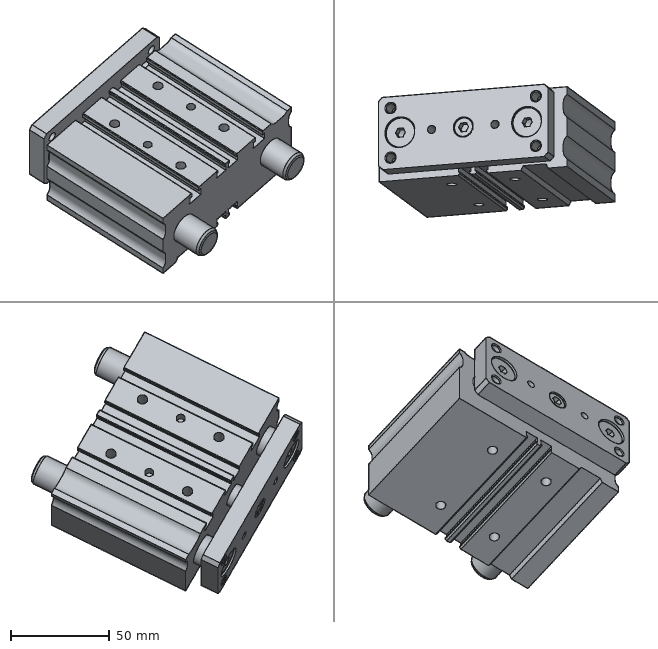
import cadquery as cq
import math

overall_length = 110.5
plate_thickness = 9.7
housing_start = 16.0
housing_length = 77.6
housing_end = housing_start + housing_length

half_width = 50.5
half_height = 21.0

side_groove_z = 10.9
side_groove_half_floor = 1.9
side_groove_depth = 2.1

flank_radius = 5.0
side_flank_angle = math.radians(45)

top_groove_y = 41.2
top_groove_half_floor = 2.4
top_groove_depth = 2.3
rail_drop = 0.9

bottom_groove_y = -32.9
bottom_groove_half_mouth = 7.3
bottom_groove_depth = 2.3
bottom_groove_flank_run = 1.3

slot_half_throat = 2.7
outer_slot_y = 25.1
inner_slot_y = 4.5
top_slot_bevel = 0.4
bottom_slot_bevel = 0.9
outer_slot_lip = 2.7
outer_slot_depth = 6.9
outer_slot_undercut = 1.7
inner_slot_lip = 1.8
inner_slot_depth = 5.1
inner_slot_undercut = 0.8

hole_row_y = 17.0
hole_centre_x = 54.9
mounting_hole_pitch = 44.2
mounting_hole_diameter = 5.1
dowel_hole_diameter = 4.4
dowel_hole_depth = 6.0

plate_half_width = 45.5
plate_half_height = 19.0
plate_bevel = 2.1
corner_hole_y = 39.0
corner_hole_z = 13.0
corner_hole_diameter = 4.9
corner_hole_mouth = 6.0
corner_hole_cone_angle = 90
plate_dowel_diameter = 4.2

guide_rod_y = 34.0
guide_rod_diameter = 16.0
guide_front_recess = 1.0
guide_front_bevel = 0.4
guide_rear_bevel_length = 1.3
guide_rear_bevel_drop = 0.8
guide_tip_length = 0.5
guide_tip_drop = 0.9
piston_rod_diameter = 12.0
piston_rod_engagement = 22.1
bolt_diameter = 10.5
bolt_recess = 0.5
bolt_bevel = 0.4

socket_across_flats = 4.6
socket_across_corners = socket_across_flats / math.cos(math.radians(30))
socket_depth = 4.0
drill_tip_half_angle = 59.0


def x_cylinder(start, end, diameter, y=0.0):
    """A cylinder along X between two stations, at height zero."""
    return cq.Workplane("YZ", origin=(start, y, 0)).circle(diameter / 2).extrude(end - start)


def along_housing(profile):
    """Extrude a closed YZ profile over the length of the housing."""
    return profile.extrude(housing_length)


def housing_section():
    """Cross-section plane at the front end of the housing."""
    return cq.Workplane("YZ", origin=(housing_start, 0, 0))


def side_groove(side, z):
    """Groove in the +Y (side = 1) or -Y (side = -1) face, centred at height z."""
    arc_rise = flank_radius * (1 - math.cos(side_flank_angle))
    arc_end_half = side_groove_half_floor + flank_radius * math.sin(side_flank_angle)
    mouth_half = arc_end_half + side_groove_depth - arc_rise
    face = side * half_width
    floor = side * (half_width - side_groove_depth)
    arc_end = floor + side * arc_rise
    mid_half = side_groove_half_floor + flank_radius * math.sin(side_flank_angle / 2)
    mid = floor + side * flank_radius * (1 - math.cos(side_flank_angle / 2))
    return along_housing(
        housing_section()
        .moveTo(face, z - mouth_half)
        .lineTo(arc_end, z - arc_end_half)
        .threePointArc((mid, z - mid_half), (floor, z - side_groove_half_floor))
        .lineTo(floor, z + side_groove_half_floor)
        .threePointArc((mid, z + mid_half), (arc_end, z + arc_end_half))
        .lineTo(face, z + mouth_half)
        .close()
    )


def flank_run(rise):
    """Sideways run of a flank arc that climbs by the given rise from the groove floor."""
    return math.sqrt(flank_radius**2 - (flank_radius - rise) ** 2)


def top_groove():
    """Top groove with round flanks, cut together with the drop of the rail at the +Y edge."""
    floor_z = half_height - top_groove_depth
    rail_z = half_height - rail_drop
    inner_floor_y = top_groove_y - top_groove_half_floor
    outer_floor_y = top_groove_y + top_groove_half_floor
    inner_edge_y = inner_floor_y - flank_run(top_groove_depth)
    outer_edge_y = outer_floor_y + flank_run(top_groove_depth - rail_drop)
    return along_housing(
        housing_section()
        .moveTo(inner_edge_y, half_height)
        .radiusArc((inner_floor_y, floor_z), -flank_radius)
        .lineTo(outer_floor_y, floor_z)
        .radiusArc((outer_edge_y, rail_z), -flank_radius)
        .lineTo(half_width, rail_z)
        .lineTo(half_width, half_height)
        .close()
    )


def bottom_groove():
    """Flat groove with sloping flanks that widen toward its mouth."""
    floor_half = bottom_groove_half_mouth - bottom_groove_flank_run
    floor_z = bottom_groove_depth - half_height
    return along_housing(
        housing_section().polyline([
            (bottom_groove_y - bottom_groove_half_mouth, -half_height),
            (bottom_groove_y - floor_half, floor_z),
            (bottom_groove_y + floor_half, floor_z),
            (bottom_groove_y + bottom_groove_half_mouth, -half_height),
        ]).close()
    )


def t_slot(y, face, bevel, lip, depth, undercut):
    """T-slot in the top (face = 1) or bottom (face = -1) of the housing."""
    half_profile = [
        (slot_half_throat + bevel, half_height),
        (slot_half_throat, half_height - bevel),
        (slot_half_throat, half_height - lip),
        (slot_half_throat + undercut, half_height - lip),
        (slot_half_throat + undercut, half_height - depth),
    ]
    right = [(y + offset, face * z) for offset, z in half_profile]
    left = [(y - offset, face * z) for offset, z in reversed(half_profile)]
    return along_housing(housing_section().polyline(right + left).close())


def drill_vertical_holes(body):
    """Drill a row of two through mounting holes and one blind dowel hole on each side of the piston."""
    half_pitch = mounting_hole_pitch / 2
    for y in (-hole_row_y, hole_row_y):
        for x in (hole_centre_x - half_pitch, hole_centre_x + half_pitch):
            top_point = cq.Workplane("XY", origin=(x, y, half_height))
            body = body.cut(top_point.circle(mounting_hole_diameter / 2).extrude(-2 * half_height))
        top_point = cq.Workplane("XY", origin=(hole_centre_x, y, half_height))
        body = body.cut(top_point.circle(dowel_hole_diameter / 2).extrude(-dowel_hole_depth))
    return body


def make_housing():
    body = along_housing(housing_section().rect(2 * half_width, 2 * half_height))
    body = body.cut(side_groove(1, side_groove_z))
    body = body.cut(side_groove(-1, side_groove_z))
    body = body.cut(side_groove(-1, -side_groove_z))
    body = body.cut(top_groove())
    body = body.cut(bottom_groove())
    for y in (-outer_slot_y, outer_slot_y):
        body = body.cut(
            t_slot(y, 1, top_slot_bevel, outer_slot_lip, outer_slot_depth, outer_slot_undercut)
        )
    for y in (-inner_slot_y, inner_slot_y):
        for face, bevel in ((1, top_slot_bevel), (-1, bottom_slot_bevel)):
            body = body.cut(
                t_slot(y, face, bevel, inner_slot_lip, inner_slot_depth, inner_slot_undercut)
            )
    body = drill_vertical_holes(body)
    for y in (-guide_rod_y, guide_rod_y):
        body = body.cut(x_cylinder(housing_start, housing_end, guide_rod_diameter, y))
    piston_end = housing_start + piston_rod_engagement
    return body.cut(x_cylinder(housing_start, piston_end, piston_rod_diameter))


def make_plate():
    plate = (
        cq.Workplane("YZ")
        .rect(2 * plate_half_width, 2 * plate_half_height)
        .extrude(plate_thickness)
        .edges("|X")
        .chamfer(plate_bevel)
    )
    for y in (-guide_rod_y, guide_rod_y):
        plate = plate.cut(x_cylinder(0, plate_thickness, guide_rod_diameter, y))
    for y in (-hole_row_y, hole_row_y):
        plate = plate.cut(x_cylinder(0, plate_thickness, plate_dowel_diameter, y))
    plate = plate.cut(x_cylinder(0, plate_thickness, bolt_diameter))
    return (
        plate.faces("<X")
        .workplane(origin=(0, 0, 0))
        .rect(2 * corner_hole_y, 2 * corner_hole_z, forConstruction=True)
        .vertices()
        .cskHole(corner_hole_diameter, corner_hole_mouth, corner_hole_cone_angle)
    )


def hex_prism(start, depth, y=0.0):
    """Hexagonal prism along X, with two of its flats horizontal."""
    return cq.Workplane("YZ", origin=(start, y, 0)).polygon(6, socket_across_corners).extrude(depth)


def drilled_hex_socket(start, y):
    """Hexagonal socket cut that ends in the cone left by a drill."""
    tip_radius = socket_across_corners / 2
    tip_length = tip_radius / math.tan(math.radians(drill_tip_half_angle))
    cone_start = start + socket_depth
    drill = (
        cq.Workplane("XY")
        .polyline([
            (start, 0),
            (start, tip_radius),
            (cone_start, tip_radius),
            (cone_start + tip_length, 0),
        ])
        .close()
        .revolve(360, (0, 0, 0), (1, 0, 0))
        .translate((0, y, 0))
    )
    return hex_prism(start, socket_depth + tip_length, y).intersect(drill)


def make_guide_rod(y):
    """Guide rod set back in the plate, bevelled in front and narrowing in two steps at the rear."""
    radius = guide_rod_diameter / 2
    tip_start = overall_length - guide_tip_length
    bevelled_radius = radius - guide_rear_bevel_drop
    rod = (
        cq.Workplane("XY")
        .polyline([
            (guide_front_recess, 0),
            (guide_front_recess, radius - guide_front_bevel),
            (guide_front_recess + guide_front_bevel, radius),
            (tip_start - guide_rear_bevel_length, radius),
            (tip_start, bevelled_radius),
            (overall_length, bevelled_radius - guide_tip_drop),
            (overall_length, 0),
        ])
        .close()
        .revolve(360, (0, 0, 0), (1, 0, 0))
        .translate((0, y, 0))
    )
    return rod.cut(drilled_hex_socket(guide_front_recess, y))


def make_piston_rod():
    return x_cylinder(plate_thickness, housing_start + piston_rod_engagement, piston_rod_diameter)


def make_bolt():
    """Bolt set back in the plate's centre hole, which meets the end of the piston rod."""
    bolt = x_cylinder(bolt_recess, plate_thickness, bolt_diameter).faces("<X").chamfer(bolt_bevel)
    return bolt.cut(hex_prism(bolt_recess, socket_depth))


housing = make_housing()
plate = make_plate()
piston_rod = make_piston_rod()
bolt = make_bolt()
guide_rods = [make_guide_rod(y) for y in (-guide_rod_y, guide_rod_y)]

result = cq.Compound.makeCompound([
    housing.val(),
    plate.val(),
    piston_rod.val(),
    bolt.val(),
    *[rod.val() for rod in guide_rods],
])